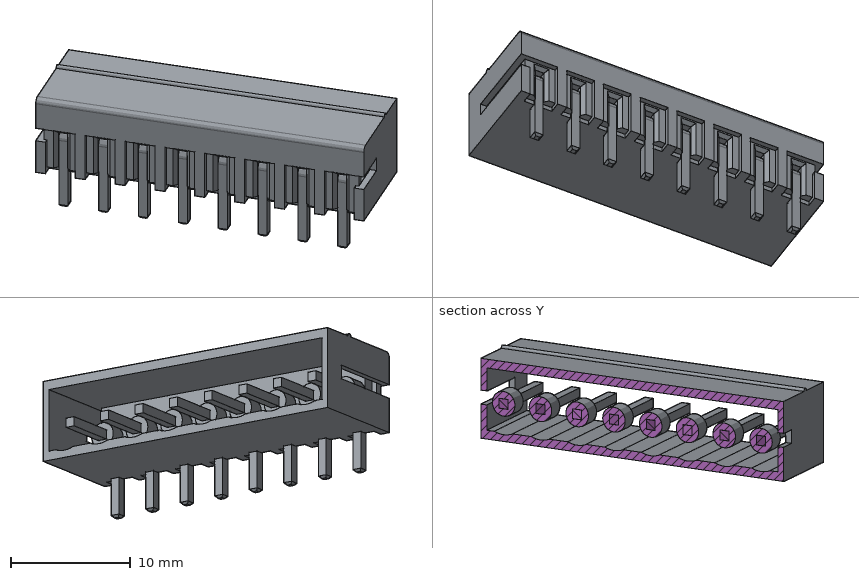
import cadquery as cq
import math

length = 28.8
depth = 9.2
body_height = 6.97
front_fillet = 0.45

pole_count = 8
first_pole_x = 2.15
pitch = (length - 2 * first_pole_x) / (pole_count - 1)
pole_xs = [first_pole_x + i * pitch for i in range(pole_count)]

ridge_y = 5.93
ridge_radius = 0.23

recess_width = 2.62
recess_top = 4.18
recess_depth = 0.43
foot_height = 0.43
foot_depth = 1.05

wall = 0.58
cavity_floor = 0.8
cavity_top = body_height - cavity_floor
cavity_front = 2.07

end_pocket_front = foot_depth

collar_diameter = 2.2
collar_end = 3.55

channel_half_width = 0.85
channel_radius = 2.15

slot_bottom = 3.0
left_slot_end = 7.1
right_slot_end = collar_end

pin_size = 0.8
pin_front = 0.85
pin_top = 3.7
pin_bottom = -3.4
pin_end = 8.35
tip_height = 0.2
tip_inset = 0.2
pin_underside = pin_top - pin_size
pin_axis_z = pin_top - pin_size / 2
pin_back = pin_front + pin_size

flare = 0.32


def box(x0, x1, y0, y1, z0, z1):
    """Axis-aligned block between two corners."""
    return cq.Workplane("XY").box(x1 - x0, y1 - y0, z1 - z0, centered=False).translate((x0, y0, z0))


def outer_block():
    """Housing profile in the YZ plane with its ridge and front fillet, run along X."""
    return (
        cq.Workplane("YZ")
        .moveTo(0, 0)
        .lineTo(depth, 0)
        .lineTo(depth, body_height)
        .lineTo(ridge_y + ridge_radius, body_height)
        .threePointArc((ridge_y, body_height + ridge_radius), (ridge_y - ridge_radius, body_height))
        .lineTo(front_fillet, body_height)
        .radiusArc((0, body_height - front_fillet), -front_fillet)
        .close()
        .extrude(length)
    )


def floor_channel(x):
    """Cylindrical channel that dips below the cavity floor under one pin."""
    axis_z = cavity_floor + math.sqrt(channel_radius**2 - channel_half_width**2)
    return (
        cq.Workplane("XZ")
        .moveTo(x - channel_half_width, cavity_floor)
        .threePointArc((x, axis_z - channel_radius), (x + channel_half_width, cavity_floor))
        .close()
        .extrude(-(depth - cavity_front))
        .translate((0, cavity_front, 0))
    )


def collar(x):
    """Round collar around one pin, standing on the cavity's front wall."""
    return (
        cq.Workplane("XZ")
        .center(x, pin_axis_z)
        .circle(collar_diameter / 2)
        .extrude(-(collar_end - cavity_front))
        .translate((0, cavity_front, 0))
    )


def cavity():
    """Mating space with end pockets and floor channels, leaving the collars standing."""
    space = box(wall, length - wall, cavity_front, depth, cavity_floor, cavity_top)
    pocket_inner = first_pole_x - collar_diameter / 2
    pockets = [(wall, pocket_inner), (length - pocket_inner, length - wall)]
    for x0, x1 in pockets:
        space = space.union(box(x0, x1, end_pocket_front, cavity_front, cavity_floor, cavity_top))
    for x in pole_xs:
        space = space.union(floor_channel(x)).cut(collar(x))
    return space


def front_recess(x):
    """Recess around one pin: shallow down to the foot line, deeper below it."""
    x0 = x - recess_width / 2
    x1 = x + recess_width / 2
    upper = box(x0, x1, 0, recess_depth, 0, recess_top)
    lower = box(x0, x1, 0, foot_depth, 0, foot_height)
    return upper.union(lower)


def pin_mouth(x):
    """Flare on three sides of the pin slot, and the straight slot behind it, open at the bottom."""
    half = pin_size / 2
    half_open = half + flare
    mouth = (
        cq.Workplane("XZ")
        .workplane(offset=-recess_depth)
        .moveTo(x - half_open, -flare)
        .lineTo(x + half_open, -flare)
        .lineTo(x + half_open, pin_top + flare)
        .lineTo(x - half_open, pin_top + flare)
        .close()
        .workplane(offset=-flare)
        .moveTo(x - half, 0)
        .lineTo(x + half, 0)
        .lineTo(x + half, pin_top)
        .lineTo(x - half, pin_top)
        .close()
        .loft(ruled=True)
    )
    slot = box(x - half, x + half, recess_depth, pin_back, 0, pin_top)
    return mouth.union(slot)


def end_slots():
    """Slots from the front edge into both end walls; the left one runs further back."""
    left = box(0, wall, 0, left_slot_end, slot_bottom, recess_top)
    right = box(length - wall, length, 0, right_slot_end, slot_bottom, recess_top)
    post_width = first_pole_x - recess_width / 2
    left_front = box(0, post_width, 0, recess_depth, slot_bottom, recess_top)
    right_front = box(length - post_width, length, 0, recess_depth, slot_bottom, recess_top)
    return left.union(left_front).union(right).union(right_front)


def make_pin(x):
    """Square pin bent at a right angle, with a tapered lower tip."""
    bar = (
        cq.Workplane("YZ")
        .moveTo(pin_front, pin_bottom + tip_height)
        .lineTo(pin_front, pin_underside)
        .radiusArc((pin_back, pin_top), pin_size)
        .lineTo(pin_end, pin_top)
        .lineTo(pin_end, pin_underside)
        .lineTo(pin_back, pin_underside)
        .lineTo(pin_back, pin_bottom + tip_height)
        .close()
        .extrude(pin_size)
        .translate((x - pin_size / 2, 0, 0))
    )
    tip_size = pin_size - 2 * tip_inset
    tip = (
        cq.Workplane("XY")
        .workplane(offset=pin_bottom)
        .rect(tip_size, tip_size)
        .workplane(offset=tip_height)
        .rect(pin_size, pin_size)
        .loft(ruled=True)
        .translate((x, pin_front + pin_size / 2, 0))
    )
    return bar.union(tip)


def make_housing(pins):
    """Housing with its cavity, slots and recesses, and a matching hole for every pin."""
    housing = outer_block().cut(cavity()).cut(end_slots())
    for x, pin in zip(pole_xs, pins):
        housing = housing.cut(front_recess(x)).cut(pin_mouth(x)).cut(pin)
    return housing


pins = [make_pin(x) for x in pole_xs]
housing = make_housing(pins)

result = cq.Compound.makeCompound([housing.solids().val(), *[pin.solids().val() for pin in pins]])